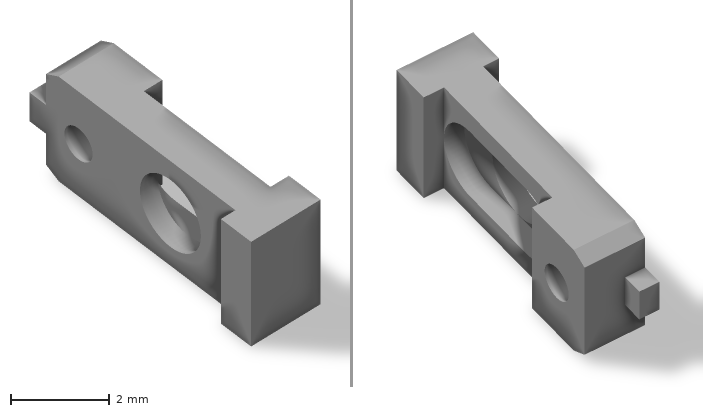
import cadquery as cq

length = 7.2
depth = 1.9
height = 2.9

tab_length = 0.505
tab_depth = 0.5
tab_height = 0.8

corner_length = 0.39
corner_height = 0.195
flange_length = 0.92
flange_depth = 0.395
recess_depth = 0.505
left_foot_length = 1.87
right_foot_length = 0.965

small_hole_x = 1.5
small_hole_diameter = 0.86
large_hole_x = 4.3
large_hole_diameter = 1.86

hole_land_depth = 0.5

body_front = flange_depth
body_depth = depth - flange_depth
body_length = length - tab_length


def box(x, y, size_x, size_y, size_z):
    """Box with its minimum X and Y corner at (x, y), centred on Z = 0."""
    return cq.Workplane("XY").box(size_x, size_y, size_z, centered=(False, False, True)).translate((x, y, 0))


def make_body():
    """Plate with its two left corners bevelled through the depth."""
    half_height = height / 2
    outline = [
        (tab_length, -half_height + corner_height),
        (tab_length + corner_length, -half_height),
        (length, -half_height),
        (length, half_height),
        (tab_length + corner_length, half_height),
        (tab_length, half_height - corner_height),
    ]
    plate = cq.Workplane("XZ", origin=(0, body_front, 0)).polyline(outline).close()
    return plate.extrude(-body_depth)


def make_hole(x, diameter):
    """Cylinder along Y, through the full depth."""
    return cq.Workplane("XZ").center(x, 0).circle(diameter / 2).extrude(-depth)


def make_slot(x, slot_length, slot_width, slot_front):
    """Round-ended slot lying along X, open at the back."""
    slot = cq.Workplane("XZ", origin=(x, slot_front, 0)).slot2D(slot_length, slot_width)
    return slot.extrude(slot_front - depth)


tab = box(0, body_front, tab_length, tab_depth, tab_height)
flange = box(length - flange_length, 0, flange_length, flange_depth, height)

recess_length = body_length - left_foot_length - right_foot_length
recess = box(tab_length + left_foot_length, depth - recess_depth, recess_length, recess_depth, height)

result = make_body().union(tab).union(flange).cut(recess)
result = result.cut(make_hole(small_hole_x, small_hole_diameter))
result = result.cut(make_hole(large_hole_x, large_hole_diameter))

slot_centre_x = tab_length + left_foot_length + recess_length / 2
slot_front = body_front + hole_land_depth
result = result.cut(make_slot(slot_centre_x, recess_length, large_hole_diameter, slot_front))